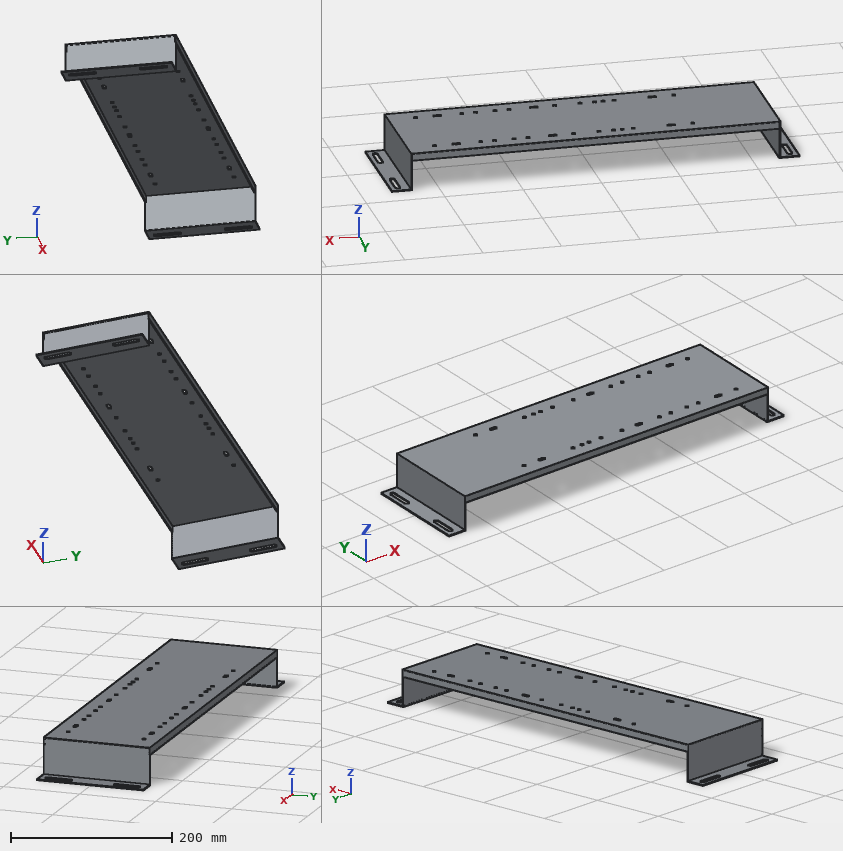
import cadquery as cq

overall_length = 520.0
overall_width = 140.0
overall_height = 49.0
sheet_thickness = 1.5

deck_length = 471.0
lip_depth = 10.0

foot_slot_spacing_x = 500.0
foot_slot_spacing_y = 90.0
foot_slot_length = 35.0
foot_slot_width = 6.0

hole_row_spacing = 100.0
hole_diameter = 4.0
hole_positions = [-128.5, -52.5, -38.5, -27.5, -9.0, 23.5, 81.5, 99.5, 124.5, 142.0, 200.5]
deck_slot_length = 10.0
deck_slot_width = 4.0
deck_slot_positions = [-101.0, 50.0, 173.0]


def bent_sheet():
    """Hat-shaped strip: foot, wall, deck, wall, foot."""
    foot_end = overall_length / 2
    wall_outside = deck_length / 2
    wall_inside = wall_outside - sheet_thickness
    deck_underside = overall_height - sheet_thickness
    right_half = [
        (wall_outside, overall_height),
        (wall_outside, sheet_thickness),
        (foot_end, sheet_thickness),
        (foot_end, 0),
        (wall_inside, 0),
        (wall_inside, deck_underside),
    ]
    left_half = [(-x, z) for x, z in reversed(right_half)]
    return (
        cq.Workplane("XZ")
        .polyline(right_half + left_half)
        .close()
        .extrude(overall_width / 2, both=True)
    )


def lip(side):
    """Downturned lip along one long edge of the deck; side is -1 or 1 along Y."""
    center_y = side * (overall_width - sheet_thickness) / 2
    center_z = overall_height - lip_depth / 2
    return (
        cq.Workplane("XY")
        .box(deck_length, sheet_thickness, lip_depth)
        .translate((0, center_y, center_z))
    )


def foot_slots():
    """Cutters for the four slots, two in each foot."""
    return (
        cq.Workplane("XY")
        .rarray(foot_slot_spacing_x, foot_slot_spacing_y, 2, 2)
        .slot2D(foot_slot_length, foot_slot_width, 90)
        .extrude(sheet_thickness)
    )


def row_points(positions):
    """The given X positions in both deck rows."""
    return [(x, side * hole_row_spacing / 2) for side in (-1, 1) for x in positions]


def deck_openings():
    """Cutters for the round holes and short slots through the deck."""
    deck_plane = cq.Workplane("XY").workplane(offset=overall_height - sheet_thickness)
    holes = (
        deck_plane.pushPoints(row_points(hole_positions))
        .circle(hole_diameter / 2)
        .extrude(sheet_thickness)
    )
    slots = (
        deck_plane.pushPoints(row_points(deck_slot_positions))
        .slot2D(deck_slot_length, deck_slot_width)
        .extrude(sheet_thickness)
    )
    return holes.union(slots)


bracket = bent_sheet().union(lip(-1)).union(lip(1))
result = bracket.cut(foot_slots()).cut(deck_openings())